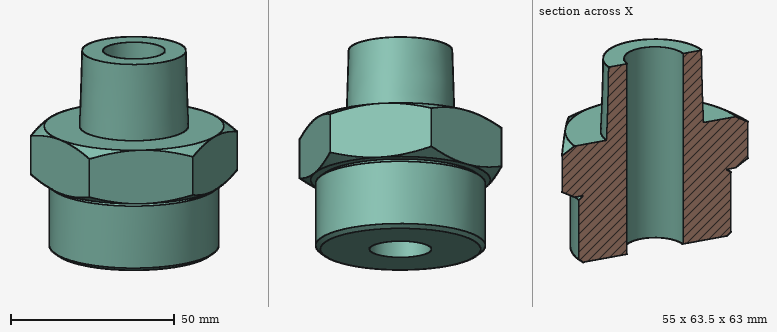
import cadquery as cq
import math

hex_corners = 63.5
hex_flats = hex_corners * math.cos(math.radians(30))
hex_height = 17.0
hex_chamfer_angle = 30.0

body_diameter = 52.0
body_height = 22.0
body_chamfer_width = 1.45
body_chamfer_height = 1.15

spigot_top_diameter = 31.8
spigot_base_diameter = 33.3
spigot_height = 24.0

bore_diameter = 19.0

hex_bottom = body_height
hex_top = hex_bottom + hex_height
total_height = hex_top + spigot_height


def revolve_profile(points):
    """Revolve a closed (radius, height) outline around the Z axis."""
    return cq.Workplane("XZ").polyline(points).close().revolve(360, (0, 0, 0), (0, 1, 0))


def make_body():
    """Cylinder chamfered at both ends."""
    radius = body_diameter / 2
    end_radius = radius - body_chamfer_width
    return revolve_profile([
        (0, 0),
        (end_radius, 0),
        (radius, body_chamfer_height),
        (radius, body_height - body_chamfer_height),
        (end_radius, body_height),
        (0, body_height),
    ])


def make_hexagon():
    """Hexagonal collar with conically chamfered corners at both faces."""
    prism = (
        cq.Workplane("XY", origin=(0, 0, hex_bottom))
        .polygon(6, hex_corners)
        .extrude(hex_height)
        .rotate((0, 0, 0), (0, 0, 1), 90)
    )
    flat_radius = hex_flats / 2
    corner_radius = hex_corners / 2
    drop = (corner_radius - flat_radius) * math.tan(math.radians(hex_chamfer_angle))
    envelope = revolve_profile([
        (0, hex_bottom),
        (flat_radius, hex_bottom),
        (corner_radius, hex_bottom + drop),
        (corner_radius, hex_top - drop),
        (flat_radius, hex_top),
        (0, hex_top),
    ])
    return prism.intersect(envelope)


def make_spigot():
    """Tapered spigot, narrowing upwards."""
    return revolve_profile([
        (0, hex_top),
        (spigot_base_diameter / 2, hex_top),
        (spigot_top_diameter / 2, total_height),
        (0, total_height),
    ])


bore = cq.Workplane("XY").circle(bore_diameter / 2).extrude(total_height)

result = make_body().union(make_hexagon()).union(make_spigot()).cut(bore)